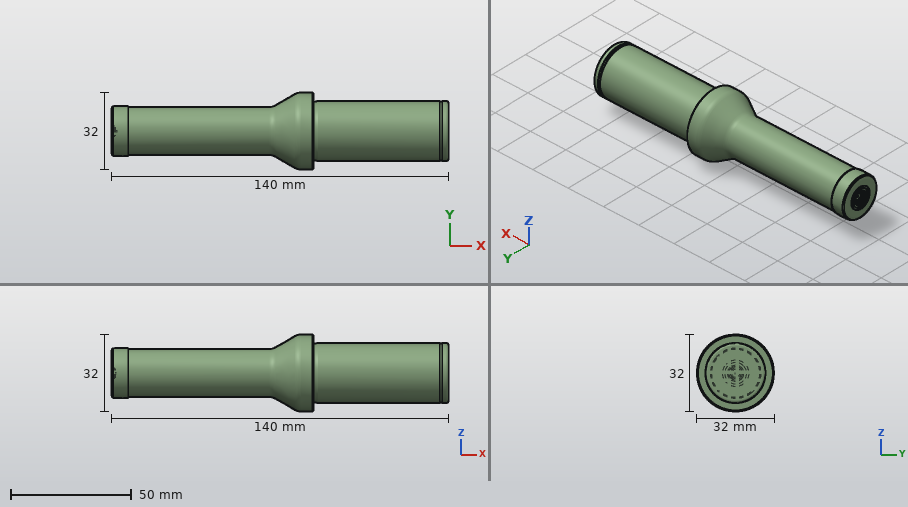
import cadquery as cq
import math

LENGTH = 140.0
BARREL_R = 20.0 / 2
FLANGE_R = 32.0 / 2
SHANK_R = 25.0 / 2
NECK_R = 24.5 / 2

HEAD_LENGTH = 7.1
HEAD_FACE_R = 8.7
HEAD_RIM_R = 10.0
HEAD_EDGE_R = 10.4
HEAD_CROWN_R = 10.5
FACE_SLOPE_LENGTH = 0.3
BEVEL_END_X = 0.8

RING_OUTER_R = 5.5
RING_INNER_R = 4.5
RING_DEPTH = 0.4
SOCKET_RADII = [3.4, 2.8, 2.2, 1.7]
SOCKET_STEP = 0.4
CENTRE_HOLE_R = 0.3
CENTRE_HOLE_DEPTH = 0.7

CONE_ANGLE = math.radians(30)
BLEND_R = 4.9
CONE_X = 66.9
FLANGE_BACK_X = 84.0
FLANGE_CHAMFER = 0.5

NECK_END_X = 84.7
SHANK_START_X = 85.7
GROOVE_X = 136.2
GROOVE_WIDTH = 1.1
GROOVE_DEPTH = 0.3
END_FILLET_R = 1.3


def revolve_about_x(profile):
    return profile.close().revolve(360, (0, 0, 0), (1, 0, 0))


def disc_cut(start_x, radius, depth):
    return cq.Workplane("YZ", origin=(start_x, 0, 0)).circle(radius).extrude(depth)


def make_head():
    crown_x = (BEVEL_END_X + HEAD_LENGTH) / 2
    head = revolve_about_x(
        cq.Workplane("XY")
        .moveTo(0, 0)
        .lineTo(0, HEAD_FACE_R)
        .lineTo(FACE_SLOPE_LENGTH, HEAD_RIM_R)
        .lineTo(BEVEL_END_X, HEAD_EDGE_R)
        .threePointArc((crown_x, HEAD_CROWN_R), (HEAD_LENGTH, HEAD_EDGE_R))
        .lineTo(HEAD_LENGTH, 0)
    )
    ring = cq.Workplane("YZ").circle(RING_OUTER_R).circle(RING_INNER_R).extrude(RING_DEPTH)
    head = head.cut(ring)
    for index, radius in enumerate(SOCKET_RADII):
        head = head.cut(disc_cut(0, radius, (index + 1) * SOCKET_STEP))
    socket_floor_x = len(SOCKET_RADII) * SOCKET_STEP
    return head.cut(disc_cut(socket_floor_x, CENTRE_HOLE_R, CENTRE_HOLE_DEPTH))


def make_holder():
    tangent = BLEND_R * math.tan(CONE_ANGLE / 2)
    along_x = tangent * math.cos(CONE_ANGLE)
    along_r = tangent * math.sin(CONE_ANGLE)
    cone_top_x = CONE_X + (FLANGE_R - BARREL_R) / math.tan(CONE_ANGLE)
    groove_end_x = GROOVE_X + GROOVE_WIDTH
    return revolve_about_x(
        cq.Workplane("XY")
        .moveTo(HEAD_LENGTH, 0)
        .lineTo(HEAD_LENGTH, BARREL_R)
        .lineTo(CONE_X - tangent, BARREL_R)
        .radiusArc((CONE_X + along_x, BARREL_R + along_r), -BLEND_R)
        .lineTo(cone_top_x - along_x, FLANGE_R - along_r)
        .radiusArc((cone_top_x + tangent, FLANGE_R), BLEND_R)
        .lineTo(FLANGE_BACK_X - FLANGE_CHAMFER, FLANGE_R)
        .lineTo(FLANGE_BACK_X, FLANGE_R - FLANGE_CHAMFER)
        .lineTo(FLANGE_BACK_X, NECK_R)
        .lineTo(NECK_END_X, NECK_R)
        .lineTo(SHANK_START_X, SHANK_R)
        .lineTo(GROOVE_X, SHANK_R)
        .lineTo(GROOVE_X, SHANK_R - GROOVE_DEPTH)
        .lineTo(groove_end_x, SHANK_R - GROOVE_DEPTH)
        .lineTo(groove_end_x, SHANK_R)
        .lineTo(LENGTH - END_FILLET_R, SHANK_R)
        .radiusArc((LENGTH, SHANK_R - END_FILLET_R), END_FILLET_R)
        .lineTo(LENGTH, 0)
    )


head = make_head()
holder = make_holder()
result = cq.Compound.makeCompound([head.val(), holder.val()])